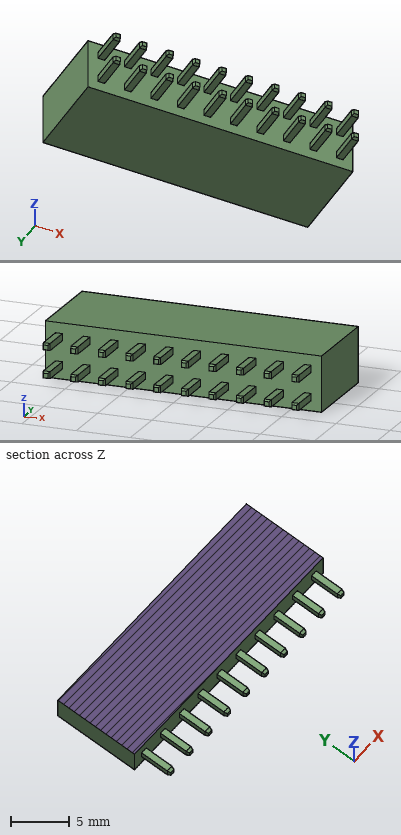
import cadquery as cq

pitch = 2.55
columns = 10
rows = 2
housing_length = columns * pitch
housing_height = rows * pitch
overall_depth = 11.65
housing_depth = 8.5

pin_width = 0.64
pin_length = overall_depth - housing_depth
tip_inset = 0.1
tip_length = 0.3


def make_housing():
    """Plain block with its pin face on the plane Y = 0."""
    return cq.Workplane("XY").box(
        housing_length, housing_depth, housing_height, centered=(True, False, True)
    )


def make_pin(x, z):
    """Square pin pointing to -Y from the housing face, ending in a tapered tip."""
    shank_length = pin_length - tip_length
    tip_width = pin_width - 2 * tip_inset
    return (
        cq.Workplane("XZ", origin=(x, 0, z))
        .rect(pin_width, pin_width)
        .extrude(shank_length)
        .faces("<Y")
        .workplane()
        .rect(pin_width, pin_width)
        .workplane(offset=tip_length)
        .rect(tip_width, tip_width)
        .loft(ruled=True)
    )


result = make_housing()
for column in range(columns):
    for row in range(rows):
        pin_x = (column - (columns - 1) / 2) * pitch
        pin_z = (row - (rows - 1) / 2) * pitch
        result = result.union(make_pin(pin_x, pin_z))